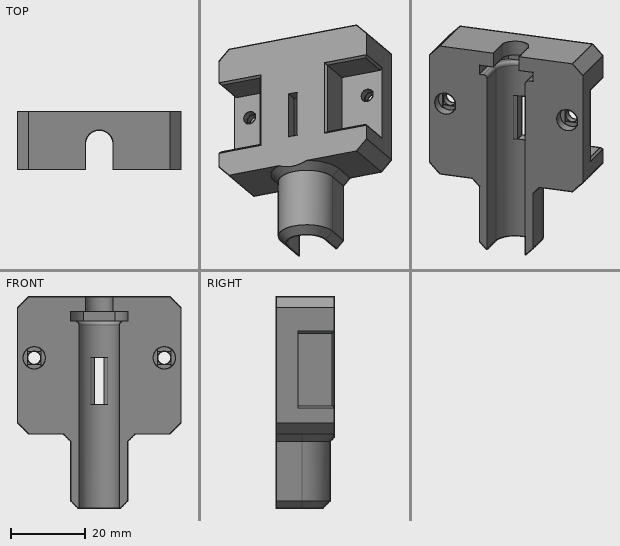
import cadquery as cq
import math

BODY_WIDTH = 44.0
TOTAL_HEIGHT = 57.0
BODY_HEIGHT = 37.0
BODY_DEPTH = 15.68
CORNER_CHAMFER = 3.0
BODY_BOTTOM = TOTAL_HEIGHT - BODY_HEIGHT

AXIS_DEPTH = 6.9
NECK_RADIUS = 7.68
NECK_TIP_CHAMFER = 2.0
NECK_FLARE = 2.0

BORE_RADIUS = 5.45
SHAFT_RADIUS = 3.68
FLANGE_RADIUS = NECK_RADIUS
SHAFT_LENGTH = 4.0
FLANGE_TOP = TOTAL_HEIGHT - SHAFT_LENGTH
FLANGE_THICKNESS = 2.6
FLANGE_BOTTOM = FLANGE_TOP - FLANGE_THICKNESS
FLANGE_FLAT_DEPTH = 13.3
BORE_MOUTH_FILLET = 1.1

WINDOW_BOTTOM = 28.0
WINDOW_HEIGHT = 12.55
WINDOW_MOUTH_WIDTH = 4.5
WINDOW_SLIT_WIDTH = 2.5
WINDOW_MOUTH_DEPTH = AXIS_DEPTH + math.sqrt(BORE_RADIUS**2 - (WINDOW_MOUTH_WIDTH / 2) ** 2)
WINDOW_FLARE_DEPTH = 0.5

FRONT_WALL_DEPTH = 5.9
RECESS_BOTTOM = 27.6
RECESS_HEIGHT = 19.5
RECESS_WALL_X = 10.0
RECESS_CHAMFER = 0.6

SCREW_X = 17.5
SCREW_Z = 40.5
SCREW_DIAMETER = 3.5
SCREW_HEAD_DIAMETER = 6.0
SCREW_HEAD_DEPTH = 3.0
STEP_DEPTH = 0.3
SLOT_STEP_WIDTH = 3.6


def block(x_min, x_max, y_min, y_max, z_min, z_max):
    """Box given by its limits along each axis."""
    size = (x_max - x_min, y_max - y_min, z_max - z_min)
    return cq.Workplane("XY").box(*size, centered=False).translate((x_min, y_min, z_min))


def make_body():
    """Plate with its four front-to-back edges chamfered."""
    plate = block(-BODY_WIDTH / 2, BODY_WIDTH / 2, 0, BODY_DEPTH, BODY_BOTTOM, TOTAL_HEIGHT)
    return plate.edges("|Y").chamfer(CORNER_CHAMFER)


def round_and_straight(half_profile):
    """Turn a half profile about the back of the channel axis and extend it straight to the front face."""
    rounded = half_profile.toPending().revolve(180, (0, 0), (0, 1))
    straight_half = half_profile.toPending().extrude(AXIS_DEPTH)
    return rounded.union(straight_half).union(straight_half.mirror("YZ"))


def make_neck():
    """Half-round neck with a chamfered tip and a flare where it meets the body."""
    tip_radius = NECK_RADIUS - NECK_TIP_CHAMFER
    flare_radius = NECK_RADIUS + NECK_FLARE
    half_outline = [
        (0, 0),
        (tip_radius, 0),
        (NECK_RADIUS, NECK_TIP_CHAMFER),
        (NECK_RADIUS, BODY_BOTTOM - NECK_FLARE),
        (flare_radius, BODY_BOTTOM),
        (0, BODY_BOTTOM),
    ]
    half_profile = cq.Workplane("XZ", origin=(0, AXIS_DEPTH, 0)).polyline(half_outline).close()
    envelope = block(-flare_radius, flare_radius, 0, BODY_DEPTH, 0, BODY_BOTTOM)
    return round_and_straight(half_profile).intersect(envelope)


def channel_section(radius, z_min, z_max):
    """Round-backed slot about the channel axis, open to the front."""
    cylinder = cq.Workplane("XY", origin=(0, AXIS_DEPTH, z_min)).circle(radius).extrude(z_max - z_min)
    return cylinder.union(block(-radius, radius, -radius, AXIS_DEPTH, z_min, z_max))


def make_bore_mouth():
    """Cutter that rounds the bore's upper edge, kept in front of the flange flat."""
    mouth_radius = BORE_RADIUS + BORE_MOUTH_FILLET
    fillet_start = FLANGE_BOTTOM - BORE_MOUTH_FILLET
    diagonal = BORE_MOUTH_FILLET * math.sqrt(0.5)
    half_profile = (
        cq.Workplane("XZ", origin=(0, AXIS_DEPTH, 0))
        .moveTo(0, fillet_start)
        .lineTo(BORE_RADIUS, fillet_start)
        .threePointArc(
            (mouth_radius - diagonal, fillet_start + diagonal),
            (mouth_radius, FLANGE_BOTTOM),
        )
        .lineTo(0, FLANGE_BOTTOM)
        .close()
    )
    limit = block(-mouth_radius, mouth_radius, -mouth_radius, FLANGE_FLAT_DEPTH, fillet_start, FLANGE_BOTTOM)
    return round_and_straight(half_profile).intersect(limit)


def make_channel():
    """Bore, flange pocket with a flat back, and shaft slot."""
    flange = channel_section(FLANGE_RADIUS, FLANGE_BOTTOM, FLANGE_TOP)
    behind_flat = block(
        -FLANGE_RADIUS, FLANGE_RADIUS, FLANGE_FLAT_DEPTH, BODY_DEPTH, FLANGE_BOTTOM, FLANGE_TOP
    )
    return (
        channel_section(BORE_RADIUS, 0, FLANGE_BOTTOM)
        .union(make_bore_mouth())
        .union(flange.cut(behind_flat))
        .union(channel_section(SHAFT_RADIUS, FLANGE_TOP, TOTAL_HEIGHT))
    )


def make_window():
    """Slit through the back, flared where it opens into the bore."""
    mouth = WINDOW_MOUTH_WIDTH / 2
    slit = WINDOW_SLIT_WIDTH / 2
    flare_end = WINDOW_MOUTH_DEPTH + WINDOW_FLARE_DEPTH
    outline = [
        (-mouth, AXIS_DEPTH),
        (mouth, AXIS_DEPTH),
        (mouth, WINDOW_MOUTH_DEPTH),
        (slit, flare_end),
        (slit, BODY_DEPTH),
        (-slit, BODY_DEPTH),
        (-slit, flare_end),
        (-mouth, WINDOW_MOUTH_DEPTH),
    ]
    return cq.Workplane("XY", origin=(0, 0, WINDOW_BOTTOM)).polyline(outline).close().extrude(WINDOW_HEIGHT)


def make_recess():
    """Recess on the -X side, chamfered along its rims on the side and back faces."""
    side = -BODY_WIDTH / 2
    recess_top = RECESS_BOTTOM + RECESS_HEIGHT
    recess = block(side, -RECESS_WALL_X, FRONT_WALL_DEPTH, BODY_DEPTH, RECESS_BOTTOM, recess_top)
    side_rim = (
        cq.Workplane("XZ", origin=(0, BODY_DEPTH, 0))
        .moveTo(side, RECESS_BOTTOM - RECESS_CHAMFER)
        .lineTo(side + RECESS_CHAMFER, RECESS_BOTTOM)
        .lineTo(side + RECESS_CHAMFER, recess_top)
        .lineTo(side, recess_top + RECESS_CHAMFER)
        .close()
        .extrude(BODY_DEPTH - FRONT_WALL_DEPTH)
    )
    rim_width = 2 * (BODY_WIDTH / 2 - RECESS_WALL_X + RECESS_CHAMFER)
    rim_height = RECESS_HEIGHT + 2 * RECESS_CHAMFER
    back_rim = (
        cq.Workplane("XZ", origin=(side, BODY_DEPTH, RECESS_BOTTOM + RECESS_HEIGHT / 2))
        .rect(rim_width, rim_height)
        .extrude(RECESS_CHAMFER, taper=45)
    )
    return recess.union(side_rim).union(back_rim)


def make_screw_hole(x):
    """Stepped screw hole from the front face into the recess."""
    square_start = SCREW_HEAD_DEPTH + STEP_DEPTH
    round_start = square_start + STEP_DEPTH
    front = cq.Workplane("XZ", origin=(x, 0, SCREW_Z))
    head = front.circle(SCREW_HEAD_DIAMETER / 2).extrude(-SCREW_HEAD_DEPTH)
    slot_step = (
        front.rect(SLOT_STEP_WIDTH, SCREW_HEAD_DIAMETER)
        .extrude(-square_start)
        .intersect(front.circle(SCREW_HEAD_DIAMETER / 2).extrude(-square_start))
    )
    square_step = front.rect(SLOT_STEP_WIDTH, SCREW_DIAMETER).extrude(-round_start)
    through = front.circle(SCREW_DIAMETER / 2).extrude(-FRONT_WALL_DEPTH)
    return head.union(slot_step).union(square_step).union(through)


recess = make_recess()
result = make_body().union(make_neck()).cut(make_channel()).cut(make_window())
result = result.cut(recess).cut(recess.mirror("YZ"))
for screw_x in (-SCREW_X, SCREW_X):
    result = result.cut(make_screw_hole(screw_x))